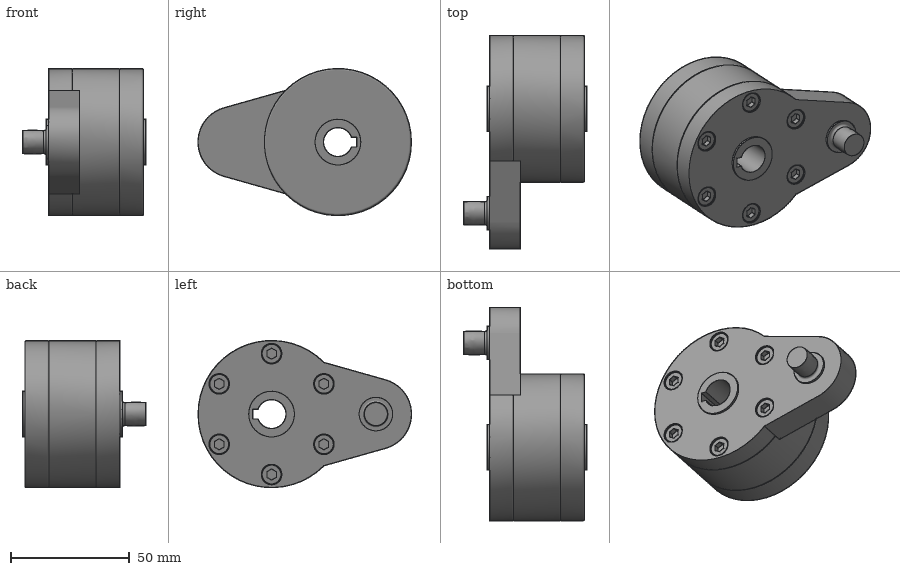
import cadquery as cq
import math

overall_length = 90.0
drum_diameter = 62.0
drum_radius = drum_diameter / 2
drum_width = 40.05
rear_fillet = 0.8
groove_positions = (10.0, 30.0)
groove_fillet = 0.495

arm_thickness = 13.0
lobe_radius = 15.0
flank_circle_radius = 27.0
arm_offset = overall_length - drum_radius - lobe_radius
lobe_y = -arm_offset

hub_diameter = 19.3
hub_height = 1.0
bore_diameter = 12.1
keyway_width = 4.05
keyway_reach = 7.8

collar_diameter = 14.1
collar_height = hub_height
shaft_reach = 11.0
shaft_end_radius = 4.9
shaft_crown_radius = 5.0
shaft_root_radius = 4.95
shaft_step_width = 0.3
shaft_root_fillet = 0.8

screw_count = 6
screw_circle_radius = 25.5
screw_seat_radius = 4.3
screw_head_radius = 4.1
screw_head_drop = 0.5
screw_head_exposed = 0.3
screw_edge_chamfer = 0.2
socket_across_flats = 4.05
socket_depth = 2.5


def disc(radius, x_start, x_end, y=0.0):
    """Solid cylinder along X between two stations."""
    return cq.Workplane("YZ", origin=(x_start, y, 0)).circle(radius).extrude(x_end - x_start)


def make_drum():
    """Drum of three sections whose rounded edges form the grooves around the rim."""
    groove_front, groove_rear = groove_positions
    front_section = disc(drum_radius, 0, groove_front).faces(">X").edges().fillet(groove_fillet)
    middle_section = disc(drum_radius, groove_front, groove_rear).edges("%CIRCLE").fillet(groove_fillet)
    rear_section = (
        disc(drum_radius, groove_rear, drum_width)
        .faces("<X").edges().fillet(groove_fillet)
        .faces(">X").edges().fillet(rear_fillet)
    )
    return front_section.union(middle_section).union(rear_section)


def make_arm():
    """Tapered plate from the drum out to the round lobe."""
    flank_angle = math.asin((flank_circle_radius - lobe_radius) / arm_offset)
    normal_y = -math.sin(flank_angle)
    normal_z = math.cos(flank_angle)
    half_chord = math.sqrt(drum_radius**2 - flank_circle_radius**2)
    rim_y = flank_circle_radius * normal_y - half_chord * normal_z
    rim_z = flank_circle_radius * normal_z + half_chord * normal_y
    tangent_y = lobe_y + lobe_radius * normal_y
    tangent_z = lobe_radius * normal_z
    return (
        cq.Workplane("YZ")
        .moveTo(0, 0)
        .lineTo(rim_y, rim_z)
        .lineTo(tangent_y, tangent_z)
        .threePointArc((lobe_y - lobe_radius, 0), (tangent_y, -tangent_z))
        .lineTo(rim_y, -rim_z)
        .close()
        .extrude(arm_thickness)
    )


def make_shaft():
    """Slightly crowned shaft with a small step and a fillet where it meets the collar."""
    root_x = -collar_height
    fillet_x = root_x - shaft_root_fillet
    step_x = fillet_x - shaft_step_width
    fillet_centre_radius = shaft_root_radius + shaft_root_fillet
    fillet_bulge = shaft_root_fillet * math.sqrt(0.5)
    shaft = (
        cq.Workplane("XY")
        .moveTo(-shaft_reach, 0)
        .lineTo(-shaft_reach, shaft_end_radius)
        .threePointArc(((step_x - shaft_reach) / 2, shaft_crown_radius), (step_x, shaft_end_radius))
        .lineTo(fillet_x, shaft_root_radius)
        .threePointArc(
            (fillet_x + fillet_bulge, fillet_centre_radius - fillet_bulge),
            (root_x, fillet_centre_radius),
        )
        .lineTo(0, fillet_centre_radius)
        .lineTo(0, 0)
        .close()
        .revolve(360, (0, 0, 0), (1, 0, 0))
        .translate((0, lobe_y, 0))
    )
    return shaft.union(disc(collar_diameter / 2, -collar_height, 0, lobe_y))


def make_bore():
    """Through bore with a keyway on its +Y side."""
    x_start = -hub_height
    x_end = drum_width + hub_height
    keyway = (
        cq.Workplane("XY")
        .box(x_end - x_start, keyway_reach, keyway_width, centered=(False, False, True))
        .translate((x_start, 0, 0))
    )
    return disc(bore_diameter / 2, x_start, x_end).union(keyway)


def make_screw_recess(y, z):
    """Space around and inside one sunk screw head with a chamfered edge and a hex socket."""
    seat_x = screw_head_drop + screw_head_exposed
    head = disc(screw_head_radius, screw_head_drop, seat_x).faces("<X").chamfer(screw_edge_chamfer)
    socket_across_corners = socket_across_flats / math.cos(math.pi / 6)
    socket = (
        cq.Workplane("YZ")
        .transformed(rotate=(0, 0, 90))
        .polygon(6, socket_across_corners)
        .extrude(screw_head_drop + socket_depth)
    )
    return disc(screw_seat_radius, 0, seat_x).cut(head).union(socket).translate((0, y, z))


result = make_drum().union(make_arm()).union(make_shaft())
result = result.union(disc(hub_diameter / 2, -hub_height, drum_width + hub_height))
result = result.cut(make_bore())
for index in range(screw_count):
    angle = math.pi / 2 + index * 2 * math.pi / screw_count
    y = screw_circle_radius * math.cos(angle)
    z = screw_circle_radius * math.sin(angle)
    result = result.cut(make_screw_recess(y, z))